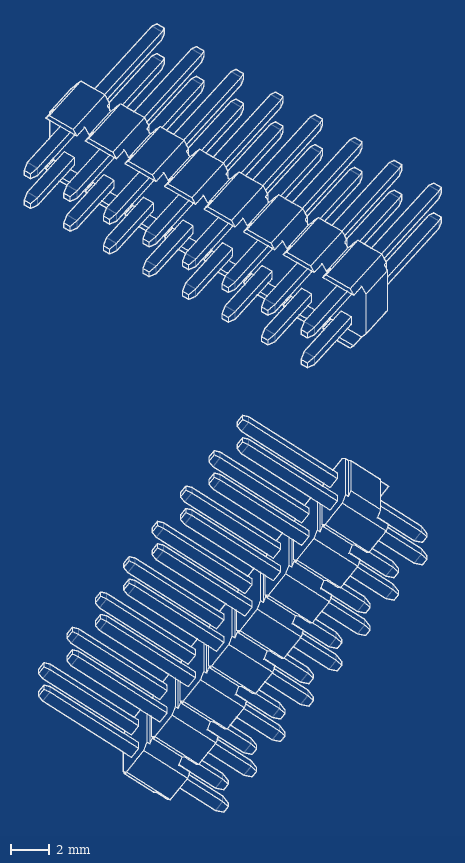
import cadquery as cq


columns = 8
rows = 2
pitch = 2.55

housing_length = columns * pitch
housing_height = rows * pitch
housing_depth = 2.1
notch_depth = 0.83
crest_width = 1.55
lip_thickness = 0.39
lip_length = 0.71
slot_width = 0.4
slot_depth = 0.18

pin_width = 0.65
front_reach = 3.72
back_reach = 6.0
front_taper_length = 0.45
back_taper_length = 0.33
front_tip_width = 0.4
back_tip_width = 0.49


def centered_positions(count):
    """Positions of `count` cells, one pitch apart, centered on zero."""
    return [(i - (count - 1) / 2) * pitch for i in range(count)]


def make_housing_block():
    """Scalloped outline, one crest per column above and below, including the lips."""
    half_height = housing_height / 2
    notch_level = half_height - notch_depth
    top_edge = [(-housing_length / 2, notch_level)]
    for x in centered_positions(columns):
        top_edge.append((x - crest_width / 2, half_height))
        top_edge.append((x + crest_width / 2, half_height))
        top_edge.append((x + pitch / 2, notch_level))
    bottom_edge = [(x, -z) for x, z in reversed(top_edge)]
    return (
        cq.Workplane("XZ", origin=(0, housing_depth, 0))
        .polyline(top_edge + bottom_edge)
        .close()
        .extrude(housing_depth + lip_length)
    )


def make_front_recess():
    """Full-length space between the upper and lower lips."""
    recess_height = housing_height - 2 * lip_thickness
    return cq.Workplane("XY").box(
        housing_length, lip_length, recess_height
    ).translate((0, -lip_length / 2, 0))


def make_back_slots():
    """Shallow vertical slots in the back face, at both ends and between columns."""
    slot_positions = [(x, 0) for x in centered_positions(columns + 1)]
    return (
        cq.Workplane("XZ", origin=(0, housing_depth, 0))
        .pushPoints(slot_positions)
        .rect(slot_width, housing_height)
        .extrude(slot_depth)
    )


def make_pin():
    """Square pin along Y, tapered at both ends."""
    front_shoulder = front_taper_length - front_reach
    back_shoulder = housing_depth + back_reach - back_taper_length
    shaft = (
        cq.Workplane("XZ", origin=(0, back_shoulder, 0))
        .rect(pin_width, pin_width)
        .extrude(back_shoulder - front_shoulder)
    )
    front_tip = (
        cq.Workplane("XZ", origin=(0, front_shoulder, 0))
        .rect(pin_width, pin_width)
        .workplane(offset=front_taper_length)
        .rect(front_tip_width, front_tip_width)
        .loft(ruled=True)
    )
    back_tip = (
        cq.Workplane("XZ", origin=(0, back_shoulder, 0))
        .rect(pin_width, pin_width)
        .workplane(offset=-back_taper_length)
        .rect(back_tip_width, back_tip_width)
        .loft(ruled=True)
    )
    return shaft.union(front_tip).union(back_tip)


result = make_housing_block().cut(make_front_recess()).cut(make_back_slots())

pin = make_pin()
for pin_x in centered_positions(columns):
    for pin_z in centered_positions(rows):
        result = result.union(pin.translate((pin_x, 0, pin_z)))